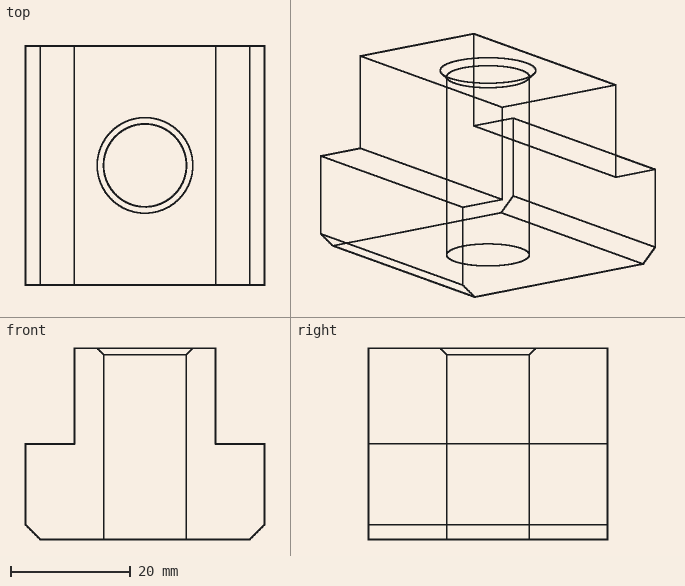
import cadquery as cq

length = 40.0
head_width = 40.0
head_height = 16.0
total_height = 32.0
neck_width = 23.6

bottom_chamfer = 2.5

thread_diameter = 16.0
bore_diameter = 13.835
countersink_angle = 90.0


def make_head():
    """Wide lower block with its long bottom edges chamfered."""
    head = cq.Workplane("XY").box(head_width, length, head_height, centered=(True, True, False))
    return head.edges("|Y and <Z").chamfer(bottom_chamfer)


def make_neck():
    """Narrow block that runs from the base up to the top face."""
    return cq.Workplane("XY").box(neck_width, length, total_height, centered=(True, True, False))


def drill_hole(body):
    """Cut the countersunk hole down through the top face."""
    top = body.faces(">Z").workplane(origin=(0, 0, total_height))
    return top.cskHole(bore_diameter, thread_diameter, countersink_angle)


result = drill_hole(make_head().union(make_neck()))